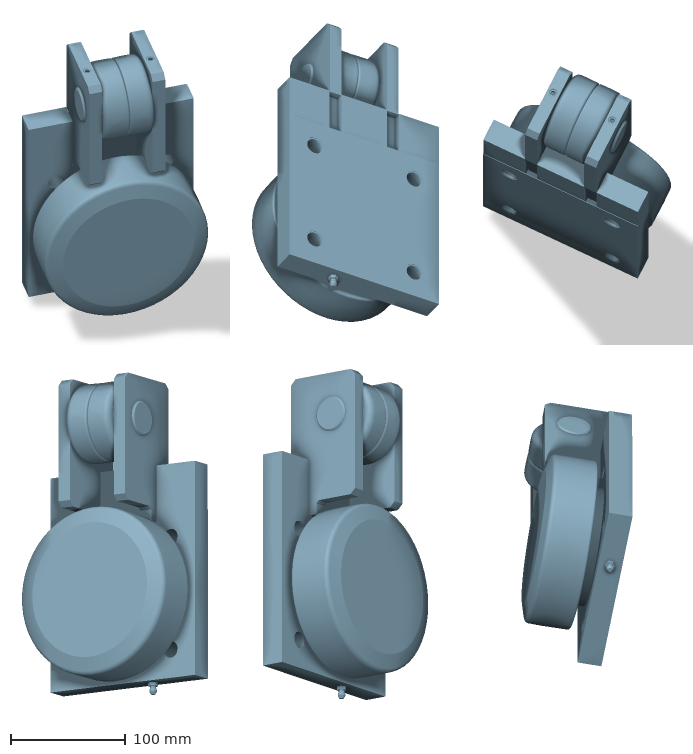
import cadquery as cq
import math


plate_width = 150.0
cover_thickness = 0.4
plate_back = 21.0
strip_height = 40.0
plate_bottom = -plate_width / 2
cover_top = plate_width / 2
plate_top = cover_top + strip_height

hole_offset = 50.0
hole_radius = 7.2
cover_hole_radius = 8.5
grease_bore_radius = 2.2

washer_radius = 52.0
washer_back = 28.7

wheel_front = 30.3
wheel_back = 73.5
wheel_radius = 74.7
wheel_crown = 0.3
wheel_front_fillet = 1.7
wheel_back_fillet = 4.0
wheel_back_face_radius = 59.5
wheel_cone_angle = 17

bracket_top = 190.0
bracket_depth = 70.0
bracket_inner = 23.0
bracket_thickness = 11.5
bracket_chamfer = 5.0
bracket_underside = 77.5
foot_back = 27.8
foot_overlap = 10.0
foot_bottom = cover_top - foot_overlap
foot_setback = 6.5
foot_step_drop = 1.0
foot_corner = 2.5
slot_width = 12.0

roller_x = 44.0
roller_z = 153.0
roller_radius = 35.0
roller_crown = 0.3
roller_half_width = 22.5
roller_edge_fillet = 5.2
roller_groove_fillet = 2.0
roller_hub_radius = 27.0
pin_radius = 15.5
pin_chamfer = 1.5
pin_half_length = 36.5

screw_radius = 3.9
screw_cone_depth = 0.8
screw_cone_angle = 45
socket_flats = 4.0
socket_depth = 2.8

nipple_x = 10.7
nipple_y = 25.0
nipple_flats = 7.5
nipple_hex_height = 3.3
nipple_neck_radius = 2.62
nipple_neck_end = 4.7
nipple_head_radius = 3.3
nipple_head_start = 6.5
nipple_head_end = 8.0
nipple_tip_radius = 2.0
nipple_length = 10.5


def box(x_range, y_range, z_range):
    """Box between two limits along each axis."""
    (x0, x1), (y0, y1), (z0, z1) = x_range, y_range, z_range
    return cq.Workplane("XY").box(x1 - x0, y1 - y0, z1 - z0, centered=False).translate((x0, y0, z0))


def cylinder_x(radius, x0, x1, y=0, z=0):
    """Cylinder along X from x0 to x1."""
    return cq.Workplane("YZ", origin=(x0, y, z)).circle(radius).extrude(x1 - x0)


def cylinder_y(radius, half_length):
    """Cylinder along Y on the guide roller axis, centred at mid-width."""
    return cq.Workplane("XZ", origin=(roller_x, 0, roller_z)).circle(radius).extrude(half_length, both=True)


def hexagon(workplane, flats):
    """Hexagon with the given distance across flats, its flats facing Y."""
    return workplane.polygon(6, flats / math.cos(math.pi / 6))


def make_plate():
    half_width = plate_width / 2
    plate = box((cover_thickness, plate_back), (-half_width, half_width), (plate_bottom, plate_top))
    slot_outer = bracket_inner + slot_width
    for y_range in ((bracket_inner, slot_outer), (-slot_outer, -bracket_inner)):
        plate = plate.cut(box((cover_thickness, plate_back), y_range, (foot_bottom, plate_top)))
    return plate


def make_cover():
    half_width = plate_width / 2
    return box((0, cover_thickness), (-half_width, half_width), (plate_bottom, cover_top))


def make_bracket(side):
    """Upright on the +Y (side = 1) or -Y (side = -1) half, its foot set back into the slot."""
    step_z = plate_top - foot_step_drop
    profile = [
        (cover_thickness, step_z),
        (cover_thickness, bracket_top - bracket_chamfer),
        (cover_thickness + bracket_chamfer, bracket_top),
        (bracket_depth - bracket_chamfer, bracket_top),
        (bracket_depth, bracket_top - bracket_chamfer),
        (bracket_depth, bracket_underside + bracket_chamfer),
        (bracket_depth - bracket_chamfer, bracket_underside),
        (foot_back + foot_corner, bracket_underside),
        (foot_back, bracket_underside - foot_corner),
        (foot_back, foot_bottom),
        (cover_thickness + foot_setback, foot_bottom),
        (cover_thickness + foot_setback, step_z),
    ]
    start_y = bracket_inner if side > 0 else -bracket_inner
    sketch = cq.Workplane("XZ", origin=(0, start_y, 0)).polyline(profile).close()
    bracket = sketch.extrude(-side * bracket_thickness)
    return bracket.cut(make_screw_recess(side * (bracket_inner + bracket_thickness / 2)))


def make_screw_recess(y):
    """Conical recess with a hexagon socket at its bottom."""
    top = cq.Workplane("XY", origin=(roller_x, y, bracket_top))
    cone = top.circle(screw_radius).extrude(-screw_cone_depth, taper=screw_cone_angle)
    socket = hexagon(top, socket_flats).extrude(-screw_cone_depth - socket_depth)
    return cone.union(socket)


def make_half_roller(side):
    """Crowned half of the guide roller from mid-width out to one side face."""
    edge_radius = roller_radius - roller_crown
    crown_start = roller_groove_fillet
    crown_end = roller_half_width - roller_edge_fillet
    diagonal = math.sqrt(0.5)
    groove_centre_r = edge_radius - roller_groove_fillet
    edge_centre_r = edge_radius - roller_edge_fillet
    half = (
        cq.Workplane("XY")
        .moveTo(0, 0)
        .lineTo(groove_centre_r, 0)
        .threePointArc(
            (groove_centre_r + diagonal * roller_groove_fillet, crown_start - diagonal * roller_groove_fillet),
            (edge_radius, crown_start),
        )
        .threePointArc((roller_radius, (crown_start + crown_end) / 2), (edge_radius, crown_end))
        .threePointArc(
            (edge_centre_r + diagonal * roller_edge_fillet, crown_end + diagonal * roller_edge_fillet),
            (edge_centre_r, roller_half_width),
        )
        .lineTo(0, roller_half_width)
        .close()
        .revolve(360, (0, 0, 0), (0, 1, 0))
    )
    if side < 0:
        half = half.mirror("XZ")
    return half.translate((roller_x, 0, roller_z))


def make_guide_roller():
    roller = cylinder_y(roller_hub_radius, bracket_inner)
    for side in (1, -1):
        roller = roller.union(make_half_roller(side))
    pin = cylinder_y(pin_radius, pin_half_length).faces("<Y or >Y").chamfer(pin_chamfer)
    return roller.union(pin)


def make_nipple():
    base = cq.Workplane("XY", origin=(nipple_x, nipple_y, plate_bottom))
    hex_base = hexagon(base, nipple_flats).extrude(-nipple_hex_height)
    head = (
        cq.Workplane("XZ")
        .polyline([
            (0, 0),
            (nipple_neck_radius, 0),
            (nipple_neck_radius, -nipple_neck_end),
            (nipple_head_radius, -nipple_head_start),
            (nipple_head_radius, -nipple_head_end),
            (nipple_tip_radius, -nipple_length),
            (0, -nipple_length),
        ])
        .close()
        .revolve(360, (0, 0, 0), (0, 1, 0))
        .translate((nipple_x, nipple_y, plate_bottom))
    )
    return hex_base.union(head)


def make_carriage():
    carriage = make_plate().union(cylinder_x(washer_radius, plate_back, washer_back))
    carriage = carriage.cut(cylinder_x(grease_bore_radius, cover_thickness, washer_back))
    carriage = carriage.union(make_cover())
    for y in (-hole_offset, hole_offset):
        for z in (-hole_offset, hole_offset):
            carriage = carriage.cut(cylinder_x(hole_radius, 0, plate_back, y, z))
            carriage = carriage.cut(cylinder_x(cover_hole_radius, 0, cover_thickness, y, z))
    for side in (1, -1):
        carriage = carriage.union(make_bracket(side))
    return carriage.union(make_guide_roller()).union(make_nipple())


def make_load_wheel():
    """Crowned wheel with a rounded front edge and a conical shoulder behind a rounded back edge."""
    edge_radius = wheel_radius - wheel_crown
    diagonal = math.sqrt(0.5)
    front_centre_x = wheel_front + wheel_front_fillet
    front_centre_r = edge_radius - wheel_front_fillet

    cone_angle = math.radians(wheel_cone_angle)
    back_centre_r = edge_radius - wheel_back_fillet
    tangent_r = back_centre_r + wheel_back_fillet * math.sin(cone_angle)
    tangent_x = wheel_back - (tangent_r - wheel_back_face_radius) * math.tan(cone_angle)
    back_centre_x = tangent_x - wheel_back_fillet * math.cos(cone_angle)
    middle_angle = (math.pi / 2 + cone_angle) / 2
    back_arc_middle = (
        back_centre_x + wheel_back_fillet * math.cos(middle_angle),
        back_centre_r + wheel_back_fillet * math.sin(middle_angle),
    )
    return (
        cq.Workplane("XY")
        .moveTo(wheel_front, 0)
        .lineTo(wheel_front, front_centre_r)
        .threePointArc(
            (front_centre_x - diagonal * wheel_front_fillet, front_centre_r + diagonal * wheel_front_fillet),
            (front_centre_x, edge_radius),
        )
        .threePointArc(
            ((front_centre_x + back_centre_x) / 2, wheel_radius),
            (back_centre_x, edge_radius),
        )
        .threePointArc(back_arc_middle, (tangent_x, tangent_r))
        .lineTo(wheel_back, wheel_back_face_radius)
        .lineTo(wheel_back, 0)
        .close()
        .revolve(360, (0, 0, 0), (1, 0, 0))
    )


carriage = make_carriage()
load_wheel = make_load_wheel()
result = cq.Compound.makeCompound([carriage.val(), load_wheel.val()])